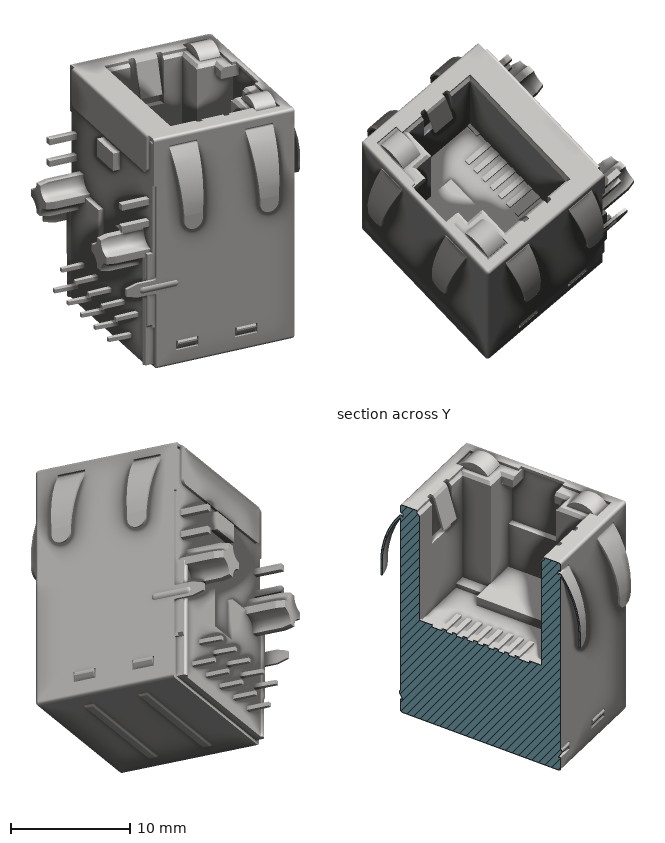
import cadquery as cq
import math


half_width = 7.94
depth = 13.22
height = 21.55
sheet = 0.27
side_edge_y = 0.25
side_edge_top = 17.13
inner_half = half_width - sheet
inner_top = height - sheet
bevel_angle = 45

flap_half = 7.05
flap_bottom = 18.02
flap_corner = 0.45
relief_height = 0.27

foot_top = 10.77
foot_thickness = 0.47
foot_notch_half = 1.6
foot_notch_bottom = 7.0
foot_step_z = 3.81
foot_step = 0.3
rail_radius = 0.3
rail_front = -0.65

key_width, key_bottom, key_height = 3.1, 15.9, 1.63

pin_end = -2.56
led_shift = -0.033
led_pin_x = 6.82
led_pin_zs = (15.35, 13.31)
led_pin_size = 0.55
signal_pitch = 2.55
signal_rows = ((4.37, 1), (1.83, -1))
signal_count = 5
signal_width, signal_height = 0.45, 0.35
signal_taper_start = -1.05
signal_taper = 0.1
peg_x, peg_z = 5.7, 10.73
peg_reach, peg_tip_half, peg_waist = 1.6, 0.33, 0.67
peg_end = -4.04
peg_taper_length, peg_taper = 0.8, 0.18

tab_z = 7.74
tab_half, tab_tip_half = 0.62, 0.33
tab_taper_start = -1.55
tab_root_radius = 0.27
bead_radius, bead_height = 0.47, 0.1
bead_half_length, bead_y = 1.52, 0.47
bead_z = 7.67

finger_reach = 1.95
finger_sheet = 0.2
finger_top = 20.45
finger_bend_end = 14.83
finger_tip = 13.47
finger_root_width, finger_tip_width = 2.59, 1.72
finger_slot_top, finger_slot_height = 20.67, 0.33
side_finger_ys = (9.83, 2.75)
rear_finger_x = 4.01

side_latch_ys = (8.6, 3.1)
side_latch_width, side_latch_bottom, side_latch_top = 2.1, 1.38, 2.25
side_latch_gap = 0.15
side_latch_bulge = 0.1
side_latch_depth = 0.22
bead_bar_ys = (9.19, 4.1)
bead_bar_length, bead_bar_width, bead_bar_height = 12.05, 0.94, 0.15

floor_z = 10.04
plug_half, plug_front, plug_back = 6.0, 2.63, 9.52
latch_half, latch_shoulder_y = 3.21, 11.2
slot_half, slot_back = 2.05, 12.65
shoulder_bottom = 20.25
back_wall_y, back_window_y, back_window_z = 12.3, 12.9, 15.39
led_window_half, led_window_front, led_window_back = 6.98, 10.05, 12.26
slot_window_half = 2.16
ledge_front, ledge_height = 8.5, 0.45
stop_front, stop_height = 7.27, 0.9
contact_count, contact_pitch, contact_width = 8, 1.03, 0.47
contact_back, contact_height = 5.13, 0.22
corner_step_x, corner_step_y = 4.8, 2.92

spring_front, spring_back = 5.26, 7.27
spring_relief = 0.55
spring_pocket_corner = 0.22
spring_pocket_x = 6.55
spring_pocket_bottom = 16.95
spring_tip_x, spring_tip_z = 5.17, 18.29
spring_sheet = 0.2

lens_x, lens_half, lens_radius = 5.3, 1.45, 1.72
lens_front, lens_back = 10.15, 12.09
left_lens_top, right_lens_top = 22.15, 22.08
lens_base = 21.18


def box(x0, x1, y0, y1, z0, z1):
    return cq.Workplane("XY").box(x1 - x0, y1 - y0, z1 - z0, centered=False).translate((x0, y0, z0))


def mid_box(half, y0, y1, z0, z1):
    """Box centred on the YZ plane."""
    return box(-half, half, y0, y1, z0, z1)


def mirrored(solid):
    """The solid together with its reflection in the YZ plane."""
    return solid.union(solid.mirror("YZ"))


def make_body():
    body = mid_box(half_width, 0, depth, 0, height)
    body = body.edges("|Y or >Y").fillet(sheet)
    body = body.cut(mid_box(half_width, 0, side_edge_y, 0, sheet))
    strip = box(inner_half, half_width, 0, side_edge_y, 0, side_edge_top)
    strip = strip.union(box(inner_half - foot_step, inner_half, 0, side_edge_y, 0, foot_step_z))
    relief = box(flap_half, inner_half, 0, sheet, inner_top - relief_height, inner_top)
    return body.cut(mirrored(strip.union(relief)))


def make_flap():
    flap = mid_box(flap_half, -sheet, sheet, flap_bottom, height)
    flap = flap.edges("|Y and <Z").fillet(flap_corner)
    return flap.edges("<Y and >Z").fillet(sheet)


def make_foot():
    narrow = inner_half - foot_step
    outline = [
        (narrow, sheet), (narrow, foot_step_z), (inner_half, foot_step_z + foot_step),
        (inner_half, foot_top), (foot_notch_half, foot_top), (foot_notch_half, foot_notch_bottom),
    ]
    outline += [(-x, z) for x, z in reversed(outline)]
    foot = cq.Workplane("XZ", origin=(0, side_edge_y, 0)).polyline(outline).close()
    foot = foot.extrude(foot_thickness + side_edge_y)
    foot = foot.cut(mid_box(foot_notch_half, 0, side_edge_y, foot_notch_bottom, foot_top))
    rail = cq.Workplane("XY", origin=(narrow - rail_radius, rail_front + rail_radius, sheet))
    rail = rail.circle(rail_radius).extrude(foot_top - sheet)
    key = mid_box(key_width / 2, rail_front, 0, key_bottom, key_bottom + key_height)
    return foot.union(mirrored(rail)).union(key)


def make_peg():
    """Four-pointed press-in peg with a tapered end."""
    a, b, c = peg_reach, peg_tip_half, peg_waist
    star = (
        cq.Workplane("XZ")
        .moveTo(a, -b).lineTo(a, b).threePointArc((c, c), (b, a))
        .lineTo(-b, a).threePointArc((-c, c), (-a, b))
        .lineTo(-a, -b).threePointArc((-c, -c), (-b, -a))
        .lineTo(b, -a).threePointArc((c, -c), (a, -b))
        .close().extrude(-peg_end)
    )
    straight = -peg_end - peg_taper_length
    taper_angle = math.degrees(math.atan2(peg_taper, peg_taper_length))
    envelope = cq.Workplane("XZ").rect(2 * a, 2 * a).extrude(straight)
    end = cq.Workplane("XZ", origin=(0, -straight, 0)).rect(2 * a, 2 * a)
    envelope = envelope.union(end.extrude(peg_taper_length, taper=taper_angle))
    return star.intersect(envelope).translate((peg_x, 0, peg_z))


def make_signal_pin(x, z, side):
    """Pin whose tip narrows on the side facing away from `side`."""
    half = signal_width / 2
    outline = [
        (half, 0), (half, pin_end), (signal_taper - half, pin_end),
        (-half, signal_taper_start), (-half, 0),
    ]
    pin = cq.Workplane("XY").polyline([(x + side * px, y) for px, y in outline]).close()
    return pin.extrude(signal_height).translate((0, 0, z - signal_height / 2))


def make_pins():
    pins = mirrored(make_peg())
    half = led_pin_size / 2
    for side in (-1, 1):
        x = side * led_pin_x + led_shift
        for z in led_pin_zs:
            pins = pins.union(box(x - half, x + half, pin_end, 0, z - half, z + half))
    for z, side in signal_rows:
        for i in range(signal_count):
            x = signal_pitch * (i - (signal_count - 1) / 2 + side / 4)
            pins = pins.union(make_signal_pin(x, z, side))
    return pins


def make_ground_tab():
    root = tab_half + tab_root_radius
    tab = (
        cq.Workplane("YZ", origin=(inner_half, 0, tab_z))
        .moveTo(side_edge_y, -root)
        .radiusArc((side_edge_y - tab_root_radius, -tab_half), -tab_root_radius)
        .lineTo(tab_taper_start, -tab_half).lineTo(pin_end, -tab_tip_half)
        .lineTo(pin_end, tab_tip_half).lineTo(tab_taper_start, tab_half)
        .lineTo(side_edge_y - tab_root_radius, tab_half)
        .radiusArc((side_edge_y, root), -tab_root_radius)
        .close().extrude(sheet)
    )
    bead = cq.Workplane("XZ").circle(bead_radius).extrude(bead_half_length, both=True)
    for end in (-bead_half_length, bead_half_length):
        bead = bead.union(cq.Workplane("XY").sphere(bead_radius).translate((0, end, 0)))
    bead = bead.translate((half_width + bead_height - bead_radius, bead_y, bead_z))
    outside = box(inner_half, half_width + sheet, -depth, depth, 0, height)
    return tab.union(bead.intersect(outside))


def make_finger():
    """Spring finger bulging toward +X from a wall at x = 0, centred on y = 0."""
    drop = finger_top - finger_bend_end
    radius = (finger_reach**2 + drop**2) / (2 * finger_reach)
    centre_x = finger_reach - radius

    def arc_point(r, angle):
        return (centre_x + r * math.cos(angle), finger_bend_end + r * math.sin(angle))

    inner = radius - finger_sheet
    sweep = math.asin((finger_slot_top - finger_bend_end) / radius)
    curve = (
        cq.Workplane("XZ")
        .moveTo(finger_reach, finger_tip).lineTo(finger_reach, finger_bend_end)
        .threePointArc(arc_point(radius, sweep / 2), arc_point(radius, sweep))
        .lineTo(*arc_point(inner, sweep))
        .threePointArc(arc_point(inner, sweep / 2), arc_point(inner, 0))
        .lineTo(finger_reach - finger_sheet, finger_tip)
        .close().extrude(finger_root_width, both=True)
    )
    tip = finger_tip_width / 2
    root = finger_root_width / 2
    outline = (
        cq.Workplane("YZ", origin=(-finger_reach, 0, 0))
        .moveTo(-tip, finger_tip + tip).lineTo(-tip, finger_bend_end).lineTo(-root, finger_top)
        .lineTo(root, finger_top).lineTo(tip, finger_bend_end).lineTo(tip, finger_tip + tip)
        .threePointArc((0, finger_tip), (-tip, finger_tip + tip))
        .close().extrude(3 * finger_reach)
    )
    return curve.intersect(outline)


def place_on_walls(part):
    """Copies of a part made for the wall x = 0 at every finger position."""
    first_y, second_y = side_finger_ys
    sides = part.translate((half_width, first_y, 0)).union(part.translate((half_width, second_y, 0)))
    rear = part.rotate((0, 0, 0), (0, 0, 1), 90).translate((rear_finger_x, depth, 0))
    return mirrored(sides.union(rear))


def add_fingers(body):
    """Spring fingers, each emerging from the lower part of a shallow slot."""
    half = finger_root_width / 2
    slot = box(-sheet, 0, -half, half, finger_slot_top - finger_slot_height, finger_slot_top)
    return body.cut(place_on_walls(slot)).union(place_on_walls(make_finger()))


def add_side_latches(body):
    """Rectangular windows low in the sides, each filled by a bulging wedge."""
    wedge_outline = [
        (half_width - side_latch_depth, side_latch_top), (half_width, side_latch_top),
        (half_width + side_latch_bulge, side_latch_top - side_latch_gap),
        (half_width + side_latch_bulge, side_latch_top - 2 * side_latch_gap),
        (half_width - side_latch_depth, side_latch_bottom),
    ]
    half = side_latch_width / 2
    for y in side_latch_ys:
        window = box(half_width - side_latch_depth, half_width, y - half, y + half,
                     side_latch_bottom, side_latch_top)
        wedge = cq.Workplane("XZ", origin=(0, y, 0)).polyline(wedge_outline).close()
        wedge = wedge.extrude(half - side_latch_gap, both=True)
        body = body.cut(mirrored(window)).union(mirrored(wedge))
    return body


def make_bottom_beads():
    beads = cq.Workplane("XY").pushPoints([(0, -y) for y in bead_bar_ys])
    beads = beads.rect(bead_bar_length, bead_bar_width).extrude(bead_bar_height, taper=bevel_angle)
    return beads.rotate((0, 0, 0), (1, 0, 0), 180)


def make_opening():
    """Volume removed for the plug, its latch and the window in the top sheet."""
    main = mid_box(plug_half, plug_front, plug_back, floor_z, inner_top)
    latch = mid_box(latch_half, plug_back, latch_shoulder_y, floor_z, inner_top)
    under = mid_box(latch_half, latch_shoulder_y, back_wall_y, floor_z, shoulder_bottom)
    window = mid_box(latch_half, back_wall_y, back_window_y, back_window_z, shoulder_bottom)
    slot = mid_box(slot_half, latch_shoulder_y, back_window_y, shoulder_bottom, inner_top)
    opening = main.union(latch).union(under).union(window).union(slot)

    half, front, back = plug_half + sheet, plug_front - sheet, plug_back + sheet
    latch_outer = latch_half + sheet
    rim = [
        (half, front), (half, back), (latch_outer, back), (latch_outer, latch_shoulder_y + sheet),
    ]
    rim += [(-x, y) for x, y in reversed(rim)]
    chamfer = cq.Workplane("XY", origin=(0, 0, inner_top)).polyline(rim).close()
    chamfer = chamfer.extrude(-sheet, taper=bevel_angle)
    top_window = mid_box(half, front, led_window_front, inner_top, height)
    top_window = top_window.union(
        mid_box(led_window_half, led_window_front, led_window_back, inner_top, height))
    top_window = top_window.union(mid_box(slot_window_half, led_window_back, slot_back, inner_top, height))

    pocket = box(0, spring_pocket_x, spring_front - spring_relief, spring_back + spring_relief,
                 spring_pocket_bottom, height)
    pocket = pocket.edges("|Z and >X").fillet(spring_pocket_corner)
    return opening.union(chamfer).union(top_window).union(mirrored(pocket))


def make_opening_floor():
    """Steps and contact strips standing on the floor of the opening."""
    parts = mid_box(plug_half, ledge_front, plug_back, floor_z, floor_z + ledge_height)
    parts = parts.union(mid_box(latch_half, stop_front, back_wall_y, floor_z, floor_z + stop_height))
    corner = box(corner_step_x, plug_half, plug_front, corner_step_y, floor_z, floor_z + contact_height)
    parts = parts.union(mirrored(corner))
    half = contact_width / 2
    for i in range(contact_count):
        x = contact_pitch * (i - (contact_count - 1) / 2)
        strip = box(x - half, x + half, plug_front, contact_back, floor_z, floor_z + contact_height)
        parts = parts.union(strip)
    return parts


def make_contact_spring():
    """Sheet strip leaning from the top window into the opening."""
    bend_x = plug_half + sheet
    outline = [
        (spring_pocket_x, height), (bend_x, height), (bend_x - spring_sheet, inner_top),
        (spring_tip_x, spring_tip_z), (spring_tip_x + spring_sheet, spring_tip_z),
        (bend_x, inner_top), (spring_pocket_x, inner_top),
    ]
    spring = cq.Workplane("XZ", origin=(0, spring_back, 0)).polyline(outline).close()
    return spring.extrude(spring_back - spring_front)


def make_lens(x, top):
    """Block with a cylindrical crown running along Y."""
    edge_z = top - lens_radius + math.sqrt(lens_radius**2 - lens_half**2)
    return (
        cq.Workplane("XZ", origin=(x, lens_back, 0))
        .moveTo(-lens_half, lens_base).lineTo(-lens_half, edge_z)
        .threePointArc((0, top), (lens_half, edge_z))
        .lineTo(lens_half, lens_base)
        .close().extrude(lens_back - lens_front)
    )


body = add_side_latches(make_body())
body = body.union(make_flap()).union(make_foot()).union(make_pins())
body = body.union(mirrored(make_ground_tab())).union(make_bottom_beads())
body = add_fingers(body)
body = body.cut(make_opening()).union(make_opening_floor())
body = body.union(mirrored(make_contact_spring()))
body = body.union(make_lens(led_shift - lens_x, left_lens_top))
result = body.union(make_lens(led_shift + lens_x, right_lens_top))